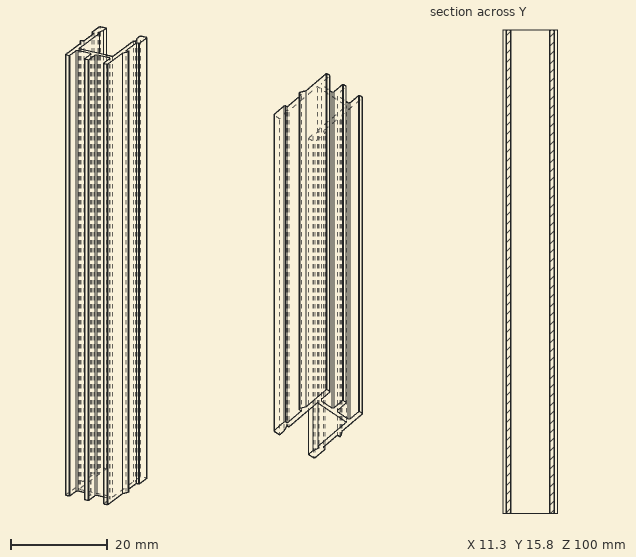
import cadquery as cq

width = 11.3
depth = 15.8
length = 100.0

wall = 1.0
wall_outer = 5.0
wall_inner = wall_outer - wall
web_bottom = 3.1
web_top = 4.0
junction_chamfer = 0.3
tip_chamfer = 0.15

head_bottom = 12.3
head_chamfer = 0.2

groove_top = 14.4
groove_bottom = 12.9
groove_flank_bottom = 13.2
groove_depth = 0.4

barb_top = 7.9
barb_tip_bottom = 7.5
barb_bottom = 6.4

half_width = width / 2


def right_wall():
    """The wall on the +X side with its head, groove and barb."""
    return (
        cq.Workplane("XY")
        .moveTo(wall_inner, tip_chamfer)
        .lineTo(wall_inner + tip_chamfer, 0)
        .lineTo(wall_outer - tip_chamfer, 0)
        .lineTo(wall_outer, tip_chamfer)
        .lineTo(wall_outer, barb_bottom)
        .lineTo(half_width, barb_tip_bottom)
        .lineTo(half_width, barb_top)
        .lineTo(wall_outer, barb_top)
        .lineTo(wall_outer, head_bottom)
        .lineTo(half_width - head_chamfer, head_bottom)
        .lineTo(half_width, head_bottom + head_chamfer)
        .lineTo(half_width, depth - head_chamfer)
        .lineTo(half_width - head_chamfer, depth)
        .lineTo(wall_inner, depth)
        .lineTo(wall_inner, groove_top)
        .lineTo(wall_inner + groove_depth, groove_flank_bottom)
        .lineTo(wall_inner + groove_depth, groove_bottom)
        .lineTo(wall_inner, groove_bottom)
        .close()
        .extrude(length)
    )


def cross_plate(plate_width, bottom, top):
    """A full-length plate centred on the X = 0 plane, from y = bottom to y = top."""
    plate = cq.Workplane("XY").box(plate_width, top - bottom, length, centered=(True, False, False))
    return plate.translate((0, bottom, 0))


def junction_wedge(corner_x, direction):
    """Chamfer the corner under the web, running in the given X direction from the upright."""
    return (
        cq.Workplane("XY")
        .moveTo(corner_x, web_bottom)
        .lineTo(corner_x + direction * junction_chamfer, web_bottom)
        .lineTo(corner_x, web_bottom - junction_chamfer)
        .close()
        .extrude(length)
    )


wall_body = right_wall()
web = cross_plate(2 * wall_inner, web_bottom, web_top)
middle_fin = cross_plate(wall, 0, web_bottom).edges("|Z and <Y").chamfer(tip_chamfer)
result = wall_body.union(wall_body.mirror("YZ")).union(web).union(middle_fin)
for side in (-1, 1):
    result = result.union(junction_wedge(side * wall / 2, side))
    result = result.union(junction_wedge(side * wall_inner, -side))
result = result.clean()